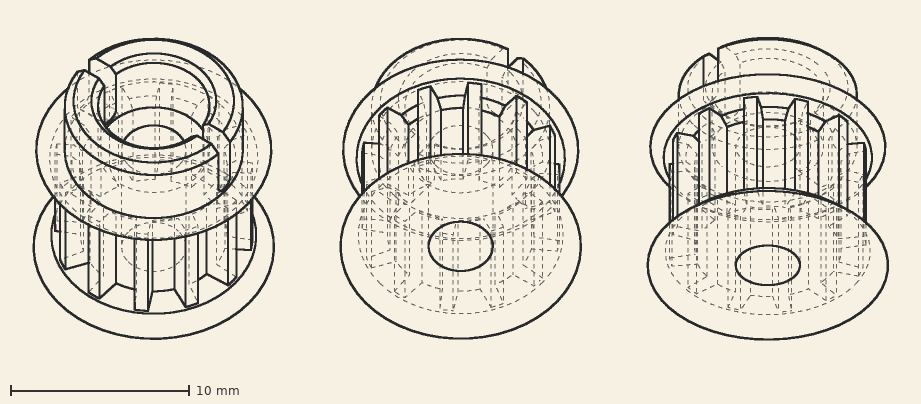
import cadquery as cq
import math

total_height = 12.7
lower_flange_top = 1.0
groove_top = 7.2
upper_flange_bottom = 7.7
upper_flange_top = 8.45
counterbore_floor = upper_flange_top

lower_flange_bottom_radius = 6.75
lower_flange_top_radius = 5.75
upper_flange_bottom_radius = 5.85
upper_flange_top_radius = 6.6

tooth_count = 12
tip_radius = 5.55
root_radius = 4.1
tip_land_width = 0.75
groove_floor_width = 1.24
tooth_pitch_angle = 360 / tooth_count

hub_radius = 10.0 / 2
hub_chamfer = 0.5
bore_diameter = 3.6
counterbore_radius = 6.25 / 2
counterbore_chamfer = 0.38

slot_width = 1.08
slot_bottom = 8.71
slot_corner_radius = 0.5


def polar(radius, angle):
    return radius * math.cos(angle), radius * math.sin(angle)


def make_body():
    """Revolve the flanges, the solid toothed section and the hub."""
    profile = [
        (0, 0),
        (lower_flange_bottom_radius, 0),
        (lower_flange_top_radius, lower_flange_top),
        (tip_radius, lower_flange_top),
        (tip_radius, upper_flange_bottom),
        (upper_flange_bottom_radius, upper_flange_bottom),
        (upper_flange_top_radius, upper_flange_top),
        (hub_radius, upper_flange_top),
        (hub_radius, total_height - hub_chamfer),
        (hub_radius - hub_chamfer, total_height),
        (0, total_height),
    ]
    return cq.Workplane("XZ").polyline(profile).close().revolve(360, (0, 0), (0, 1))


def make_groove():
    """One tapered tooth gap, centred on the +X axis, with an arc-shaped floor."""
    root_angle = math.asin(groove_floor_width / 2 / root_radius)
    tip_angle = math.radians(tooth_pitch_angle / 2) - math.asin(tip_land_width / 2 / tip_radius)
    return (
        cq.Workplane("XY")
        .workplane(offset=lower_flange_top)
        .moveTo(*polar(root_radius, -root_angle))
        .threePointArc((root_radius, 0), polar(root_radius, root_angle))
        .lineTo(*polar(tip_radius, tip_angle))
        .threePointArc((tip_radius, 0), polar(tip_radius, -tip_angle))
        .close()
        .extrude(upper_flange_bottom - lower_flange_top)
    )


def make_groove_end_cone():
    """45 degree cone that joins the groove floors to the upper flange."""
    cone_height = upper_flange_bottom - groove_top
    profile = [
        (0, groove_top),
        (root_radius, groove_top),
        (root_radius + cone_height, upper_flange_bottom),
        (0, upper_flange_bottom),
    ]
    return cq.Workplane("XZ").polyline(profile).close().revolve(360, (0, 0), (0, 1))


def make_bores():
    """Through bore and the chamfered counterbore in the hub."""
    bore = cq.Workplane("XY").circle(bore_diameter / 2).extrude(total_height)
    profile = [
        (0, counterbore_floor),
        (counterbore_radius, counterbore_floor),
        (counterbore_radius, total_height - counterbore_chamfer),
        (counterbore_radius + counterbore_chamfer, total_height),
        (0, total_height),
    ]
    counterbore = cq.Workplane("XZ").polyline(profile).close().revolve(360, (0, 0), (0, 1))
    return bore.union(counterbore)


def make_slot():
    """Slot along X through both hub walls, with rounded corners beside a narrow flat floor."""
    slot_height = total_height - slot_bottom
    return (
        cq.Workplane("XY")
        .workplane(offset=slot_bottom)
        .rect(2 * hub_radius, slot_width)
        .extrude(slot_height)
        .edges("|X and <Z")
        .fillet(slot_corner_radius)
    )


body = make_body()
groove = make_groove().cut(make_groove_end_cone())
for index in range(tooth_count):
    groove_angle = (index + 0.5) * tooth_pitch_angle
    body = body.cut(groove.rotate((0, 0, 0), (0, 0, 1), groove_angle))

result = body.cut(make_bores()).cut(make_slot())